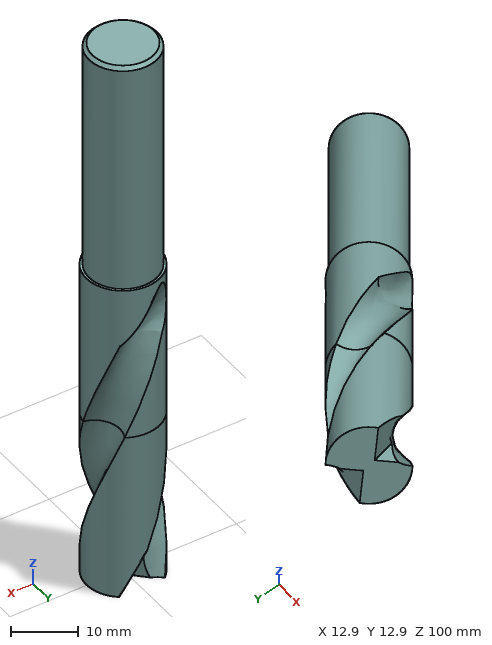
import cadquery as cq
import math

overall_length = 100.0
cutter_diameter = 12.9
cutter_radius = cutter_diameter / 2
shank_diameter = 12.0
shank_chamfer = 0.6
head_length = 30.25
collar_top = 58.1

flute_count = 2
flute_spacing = 360.0 / flute_count
helix_pitch = 100.0
flute_start_angle = 95.8
flute_radius = 4.5
core_radius = 3.5
helix_top = 47.4
runout_height = 9.4
flute_offset = core_radius + flute_radius
exit_offset = cutter_radius + flute_radius
helix_turn = 360.0 * helix_top / helix_pitch

runout_mid_offset = 9.27
runout_mid_turn = 24.5
runout_end_turn = 32.0

gash_corner = (0.15, 1.2)
gash_lean = (-1.25, 1.6, 4.2)
gash_height = 8.4
gash_reach = 9.0


def tool_circle(offset, angle, height):
    """Circle of the flute tool, at the given distance and direction from the axis."""
    x = offset * math.cos(math.radians(angle))
    y = offset * math.sin(math.radians(angle))
    return cq.Wire.makeCircle(flute_radius, cq.Vector(x, y, height), cq.Vector(0, 0, 1))


def flute_helix():
    """Full-depth part of the first flute."""
    return (
        cq.Workplane("XY")
        .pushPoints([(flute_offset, 0)])
        .circle(flute_radius)
        .twistExtrude(helix_top, helix_turn)
        .rotate((0, 0, 0), (0, 0, 1), flute_start_angle)
    )


def flute_runout():
    """Upper end of the first flute, where the tool draws back out of the surface."""
    start_angle = flute_start_angle + helix_turn
    sections = [
        tool_circle(flute_offset, start_angle, helix_top),
        tool_circle(runout_mid_offset, start_angle + runout_mid_turn, helix_top + runout_height / 2),
        tool_circle(exit_offset, start_angle + runout_end_turn, helix_top + runout_height),
    ]
    return cq.Workplane(cq.Solid.makeLoft(sections))


def end_gash():
    """Wedge that opens the first flute at the cutting end."""
    x, y = gash_corner
    outline = cq.Wire.makePolygon(
        [
            cq.Vector(x, y, 0),
            cq.Vector(x + gash_reach, y + gash_reach, 0),
            cq.Vector(x - gash_reach, y + gash_reach, 0),
        ],
        close=True,
    )
    rise = cq.Vector(*gash_lean) * (gash_height / gash_lean[2])
    return cq.Workplane(cq.Solid.extrudeLinear(outline, [], rise))


cutting_head = cq.Workplane("XY").circle(cutter_radius).extrude(head_length)
collar = (
    cq.Workplane("XY")
    .workplane(offset=head_length)
    .circle(cutter_radius)
    .extrude(collar_top - head_length)
)
shank = (
    cq.Workplane("XY")
    .workplane(offset=collar_top)
    .circle(shank_diameter / 2)
    .extrude(overall_length - collar_top)
    .faces(">Z")
    .chamfer(shank_chamfer)
)
holder = collar.union(shank)

for index in range(flute_count):
    turn = index * flute_spacing
    helix, runout, gash = [
        cutter.rotate((0, 0, 0), (0, 0, 1), turn)
        for cutter in (flute_helix(), flute_runout(), end_gash())
    ]
    cutting_head = cutting_head.cut(helix).cut(gash)
    holder = holder.cut(helix).cut(runout)

result = cq.Compound.makeCompound([cutting_head.val(), holder.val()])